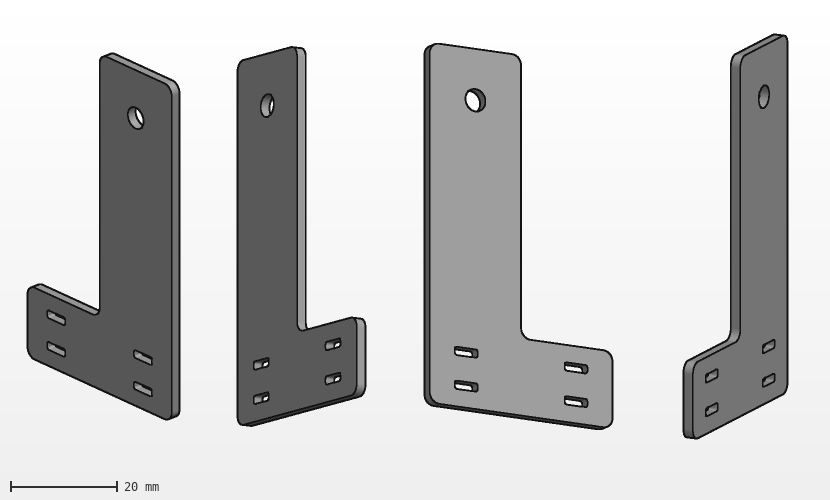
import cadquery as cq

height = 70.0
width = 40.0
thickness = 2.0

arm_width = width / 2
foot_height = 15.0
corner_radius = 2.0

hole_diameter = 4.35
hole_x = width - arm_width / 2
hole_z = height - arm_width / 2

slot_length = 5.0
slot_height = 1.6
slot_corner_radius = 0.5
slot_spacing_x = 24.0
slot_spacing_z = 6.6
slot_center_z = foot_height / 2


def make_plate():
    """L-shaped plate with all corners, including the inner one, rounded."""
    return (
        cq.Workplane("XZ")
        .polyline([
            (0, 0),
            (width, 0),
            (width, height),
            (width - arm_width, height),
            (width - arm_width, foot_height),
            (0, foot_height),
        ])
        .close()
        .extrude(-thickness)
        .edges("|Y")
        .fillet(corner_radius)
    )


def make_hole():
    """Cutter for the round hole in the arm."""
    return (
        cq.Workplane("XZ")
        .center(hole_x, hole_z)
        .circle(hole_diameter / 2)
        .extrude(-thickness)
    )


def make_slots():
    """Cutters for the 2 x 2 pattern of slots with rounded corners."""
    return (
        cq.Workplane("XZ")
        .center(width / 2, slot_center_z)
        .rarray(slot_spacing_x, slot_spacing_z, 2, 2)
        .rect(slot_length, slot_height)
        .extrude(-thickness)
        .edges("|Y")
        .fillet(slot_corner_radius)
    )


result = make_plate().cut(make_hole()).cut(make_slots())